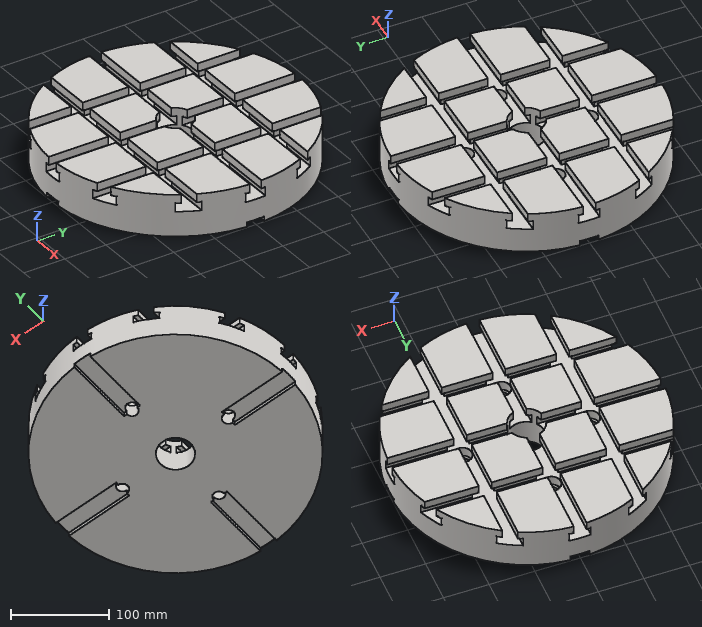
import cadquery as cq

plate_diameter = 300.0
plate_height = 50.0
bore_diameter = 40.0

slot_spacing = 70.0
slot_neck_width = 14.0
slot_head_width = 24.0
slot_neck_depth = 10.0
slot_depth = 20.0
slot_floor = plate_height - slot_depth
slot_offsets = (-slot_spacing, 0, slot_spacing)

bolt_hole_diameter = 13.5
counterbore_diameter = 19.8
counterbore_depth = 12.0

keyway_width = 21.0
keyway_depth = 5.5
keyway_inner_end = slot_spacing

quarter_turns = (0, 90, 180, 270)


def turned(body, angle):
    """Turn a body about the plate axis."""
    return body.rotate((0, 0, 0), (0, 0, 1), angle)


def t_slot(offset):
    """Full-length T-slot along X, centred on Y = offset."""
    head_height = slot_depth - slot_neck_depth
    neck = cq.Workplane("XY").box(plate_diameter, slot_neck_width, slot_depth, centered=(True, True, False))
    head = cq.Workplane("XY").box(plate_diameter, slot_head_width, head_height, centered=(True, True, False))
    return neck.union(head).translate((0, offset, slot_floor))


def bolt_hole():
    """Through hole on +X with a counterbore sunk into the slot floor."""
    hole = cq.Workplane("XY").circle(bolt_hole_diameter / 2).extrude(slot_floor)
    counterbore = (
        cq.Workplane("XY")
        .workplane(offset=slot_floor - counterbore_depth)
        .circle(counterbore_diameter / 2)
        .extrude(counterbore_depth)
    )
    return hole.union(counterbore).translate((slot_spacing, 0, 0))


def keyway():
    """Square-ended keyway on +X, open at the rim and the underside."""
    length = plate_diameter / 2 - keyway_inner_end
    block = cq.Workplane("XY").box(length, keyway_width, keyway_depth, centered=(False, True, False))
    return block.translate((keyway_inner_end, 0, 0))


plate = cq.Workplane("XY").circle(plate_diameter / 2).circle(bore_diameter / 2).extrude(plate_height)

for offset in slot_offsets:
    slot = t_slot(offset)
    plate = plate.cut(slot).cut(turned(slot, 90))

for angle in quarter_turns:
    plate = plate.cut(turned(bolt_hole(), angle))
    plate = plate.cut(turned(keyway(), angle))

result = plate